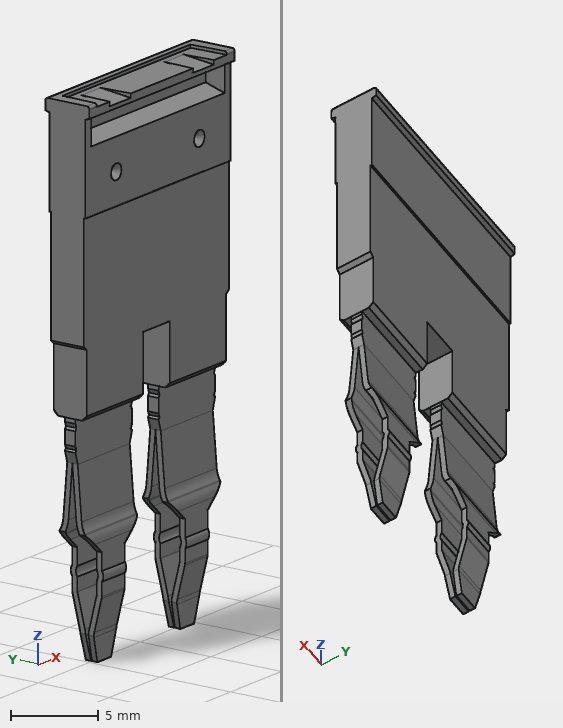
import cadquery as cq
import math

WIDTH = 14.3
CAP_THICKNESS = 3.1
TOP_Z = 34.1

CAP_ROUNDING = 0.17
CAP_LIP_Z = 33.35
CAP_UNDERSIDE_Z = 33.25
UPPER_THICKNESS = 2.52
LOWER_THICKNESS = 2.32
THICKNESS_STEP_Z = 27.32
SHOULDER_TOP_Z = 19.6
SHOULDER_BOTTOM_Z = 19.37
LEG_OUTER_X = 6.85
LEG_INNER_X = 1.3
LEG_GAP_TOP_Z = 19.1
HOUSING_BOTTOM_Z = 15.08
BOTTOM_BEVEL = 0.3

RECESS_DEPTH = 0.2
RECESS_FLOOR_Z = TOP_Z - RECESS_DEPTH
RECESS_FRONT_WIDTH = 12.75
RECESS_BACK_WIDTH = 12.55
RECESS_BACK_Y = 0.95

RAMP_BACK_Y = 0.55
RAMP_FRONT_Z = 33.63
RAMP_FRONT_WIDTH = 2.05
RAMP_BACK_WIDTH = 1.85

WINDOW_WIDTH = 13.1
WINDOW_BOTTOM_Z = 31.52
WINDOW_FLOOR_WIDTH = 12.2
WINDOW_FLOOR_TOP_Z = 32.9
WINDOW_FLOOR_BOTTOM_Z = 32.1
WINDOW_DEPTH = 1.02

DIMPLE_Z = 29.4
DIMPLE_RADIUS = 0.5
DIMPLE_DEPTH = 0.55

CONTACT_X = (LEG_OUTER_X + LEG_INNER_X) / 2
SHANK_HALF_WIDTH = (LEG_OUTER_X - LEG_INNER_X) / 2
NOTCH_DEPTH = 0.1
UPPER_NOTCH_TOP_Z = 14.8
UPPER_NOTCH_ROOT_Z = 14.53
UPPER_NOTCH_BOTTOM_Z = 14.35
LOWER_NOTCH_TOP_Z = 13.45
LOWER_NOTCH_ROOT_Z = 13.2
LOWER_NOTCH_BOTTOM_Z = 13.05
BLADE_TOP_Z = 12.35
BLADE_HALF_WIDTH = 2.55
TAPER_TOP_Z = 8.12
TAPER_BOTTOM_Z = 6.82
PRONG_HALF_WIDTH = 1.13
TIP_TAPER_Z = 1.7
TIP_HALF_WIDTH = 0.68

LEAF_THICKNESS = 0.38
FORK_Z = 12.35
SPLAY_END_Z = 8.55
SPLAY_END_Y = 0.68
BULGE_Y = 1.05
BULGE_TOP_Z = 7.85
BULGE_BOTTOM_Z = 4.13
PINCH_Z = 1.77
PINCH_Y = 0.48
TIP_Y = 0.4
SPLAY_RADIUS = 1.85
SHOULDER_RADIUS = 1.5
KNEE_RADIUS = 0.48
PINCH_RADIUS = 1.55
BUMP_TOP_Z = 5.7
BUMP_BOTTOM_Z = 5.05
BUMP_HEIGHT = 0.1

OVERSIZE = 6.82


def mirrored(right_side):
    """Closed outline from its right half, listed from top to bottom."""
    return right_side + [(-across, z) for across, z in reversed(right_side)]


def front_sketch(y):
    """XZ workplane at the given Y, whose normal points along -Y."""
    return cq.Workplane("XZ", origin=(0, y, 0))


def housing_blank():
    cap_y = CAP_THICKNESS / 2
    upper_y = UPPER_THICKNESS / 2
    lower_y = LOWER_THICKNESS / 2
    side_profile = mirrored([
        (cap_y, TOP_Z),
        (cap_y, CAP_LIP_Z),
        (upper_y, CAP_UNDERSIDE_Z),
        (upper_y, THICKNESS_STEP_Z),
        (lower_y, THICKNESS_STEP_Z),
        (lower_y, HOUSING_BOTTOM_Z + BOTTOM_BEVEL),
        (lower_y - BOTTOM_BEVEL, HOUSING_BOTTOM_Z),
    ])
    front_profile = mirrored([
        (WIDTH / 2, TOP_Z),
        (WIDTH / 2, SHOULDER_TOP_Z),
        (LEG_OUTER_X, SHOULDER_BOTTOM_Z),
        (LEG_OUTER_X, HOUSING_BOTTOM_Z),
        (LEG_INNER_X, HOUSING_BOTTOM_Z),
        (LEG_INNER_X, LEG_GAP_TOP_Z),
    ])
    slab = cq.Workplane("YZ").polyline(side_profile).close().extrude(WIDTH / 2, both=True)
    slab = slab.faces(">Z").edges("|X").fillet(CAP_ROUNDING)
    outline = front_sketch(0).polyline(front_profile).close().extrude(CAP_THICKNESS / 2, both=True)
    return slab.intersect(outline)


def plan_outline(centre_x, front_width, back_width, back_y):
    """Vertical prism from the front of the cap, narrowing towards the back."""
    front_y = -CAP_THICKNESS / 2
    corners = [
        (centre_x - front_width / 2, front_y),
        (centre_x + front_width / 2, front_y),
        (centre_x + back_width / 2, back_y),
        (centre_x - back_width / 2, back_y),
    ]
    return cq.Workplane("XY", origin=(0, 0, CAP_LIP_Z)).polyline(corners).close().extrude(OVERSIZE)


def top_recess():
    prism = plan_outline(0, RECESS_FRONT_WIDTH, RECESS_BACK_WIDTH, RECESS_BACK_Y)
    floor_plane = cq.Workplane("XY", origin=(0, 0, RECESS_FLOOR_Z))
    above_floor = floor_plane.rect(WIDTH, OVERSIZE).extrude(OVERSIZE)
    return prism.intersect(above_floor)


def thumb_ramp(centre_x):
    prism = plan_outline(centre_x, RAMP_FRONT_WIDTH, RAMP_BACK_WIDTH, RAMP_BACK_Y)
    front_y = -CAP_THICKNESS / 2
    wedge = [
        (front_y, RAMP_FRONT_Z),
        (RAMP_BACK_Y, RECESS_FLOOR_Z),
        (RAMP_BACK_Y, TOP_Z),
        (front_y, TOP_Z),
    ]
    above_ramp = cq.Workplane("YZ").polyline(wedge).close().extrude(WIDTH / 2, both=True)
    return prism.intersect(above_ramp)


def window_pocket():
    mouth_z = (CAP_UNDERSIDE_Z + WINDOW_BOTTOM_Z) / 2
    floor_z = (WINDOW_FLOOR_TOP_Z + WINDOW_FLOOR_BOTTOM_Z) / 2
    return (
        front_sketch(WINDOW_DEPTH - UPPER_THICKNESS / 2)
        .center(0, floor_z)
        .rect(WINDOW_FLOOR_WIDTH, WINDOW_FLOOR_TOP_Z - WINDOW_FLOOR_BOTTOM_Z)
        .workplane(offset=WINDOW_DEPTH)
        .center(0, mouth_z - floor_z)
        .rect(WINDOW_WIDTH, CAP_UNDERSIDE_Z - WINDOW_BOTTOM_Z)
        .loft(ruled=True)
    )


def probe_dimple(centre_x):
    mouth = cq.Vector(centre_x, -UPPER_THICKNESS / 2, DIMPLE_Z)
    return cq.Workplane(cq.Solid.makeCone(DIMPLE_RADIUS, 0, DIMPLE_DEPTH, mouth, cq.Vector(0, 1, 0)))


def make_housing():
    body = housing_blank().cut(top_recess()).cut(window_pocket())
    for centre_x in (-CONTACT_X, CONTACT_X):
        body = body.cut(thumb_ramp(centre_x)).cut(probe_dimple(centre_x))
    return body.solids()


def contact_outline():
    """Front outline of one contact, extruded through its full thickness."""
    notch_root = SHANK_HALF_WIDTH - NOTCH_DEPTH
    half = [
        (SHANK_HALF_WIDTH, HOUSING_BOTTOM_Z),
        (SHANK_HALF_WIDTH, UPPER_NOTCH_TOP_Z),
        (notch_root, UPPER_NOTCH_ROOT_Z),
        (SHANK_HALF_WIDTH, UPPER_NOTCH_BOTTOM_Z),
        (SHANK_HALF_WIDTH, LOWER_NOTCH_TOP_Z),
        (notch_root, LOWER_NOTCH_ROOT_Z),
        (SHANK_HALF_WIDTH, LOWER_NOTCH_BOTTOM_Z),
        (BLADE_HALF_WIDTH, BLADE_TOP_Z),
        (BLADE_HALF_WIDTH, TAPER_TOP_Z),
        (PRONG_HALF_WIDTH, TAPER_BOTTOM_Z),
        (PRONG_HALF_WIDTH, TIP_TAPER_Z),
        (TIP_HALF_WIDTH, 0),
    ]
    return front_sketch(0).polyline(mirrored(half)).close().extrude(CAP_THICKNESS, both=True)


def offset_path(path, distance):
    """Corner points of a (y, z) path moved sideways by a distance, with mitred corners."""
    headings = [math.atan2(z2 - z1, y2 - y1) for (y1, z1), (y2, z2) in zip(path, path[1:])]
    moved = []
    for index, (y, z) in enumerate(path):
        before = headings[max(index - 1, 0)]
        after = headings[min(index, len(headings) - 1)]
        middle = (before + after) / 2
        reach = distance / math.cos((after - before) / 2)
        moved.append((y + reach * math.sin(middle), z - reach * math.cos(middle)))
    return moved


def bump_strip(surface_y):
    """Rounded bar along X, standing on a vertical plane at the given Y."""
    middle_z = (BUMP_TOP_Z + BUMP_BOTTOM_Z) / 2
    return (
        cq.Workplane("YZ")
        .moveTo(surface_y, BUMP_TOP_Z)
        .threePointArc((surface_y + BUMP_HEIGHT, middle_z), (surface_y, BUMP_BOTTOM_Z))
        .close()
        .extrude(SHANK_HALF_WIDTH, both=True)
    )


def bent_leaf():
    """The leaf on the +Y side, as a full-width bent strip."""
    outer = [
        (LEAF_THICKNESS, HOUSING_BOTTOM_Z),
        (LEAF_THICKNESS, FORK_Z),
        (SPLAY_END_Y, SPLAY_END_Z),
        (BULGE_Y, BULGE_TOP_Z),
        (BULGE_Y, BULGE_BOTTOM_Z),
        (PINCH_Y, PINCH_Z),
        (TIP_Y, 0),
    ]
    inner = offset_path(outer, LEAF_THICKNESS)
    leaf = cq.Workplane("YZ").polyline(outer + inner[::-1]).close().extrude(SHANK_HALF_WIDTH, both=True)

    bend_radii = [
        (SPLAY_RADIUS, SPLAY_RADIUS + LEAF_THICKNESS),
        (SHOULDER_RADIUS, SHOULDER_RADIUS - LEAF_THICKNESS),
        (KNEE_RADIUS, KNEE_RADIUS - LEAF_THICKNESS),
        (PINCH_RADIUS, PINCH_RADIUS + LEAF_THICKNESS),
    ]
    first_bend = outer.index((SPLAY_END_Y, SPLAY_END_Z))
    for outer_corner, inner_corner, radii in zip(outer[first_bend:], inner[first_bend:], bend_radii):
        for (y, z), radius in zip((outer_corner, inner_corner), radii):
            leaf = leaf.edges(cq.NearestToPointSelector((0, y, z))).fillet(radius)
    return leaf.union(bump_strip(BULGE_Y)).cut(bump_strip(BULGE_Y - LEAF_THICKNESS))


def make_contact(centre_x):
    leaf = bent_leaf()
    leaf_pair = leaf.union(leaf.mirror("XZ"))
    return leaf_pair.intersect(contact_outline()).translate((centre_x, 0, 0)).solids()


housing = make_housing()
contacts = [make_contact(centre_x) for centre_x in (-CONTACT_X, CONTACT_X)]
result = cq.Compound.makeCompound([housing.val(), *[contact.val() for contact in contacts]])